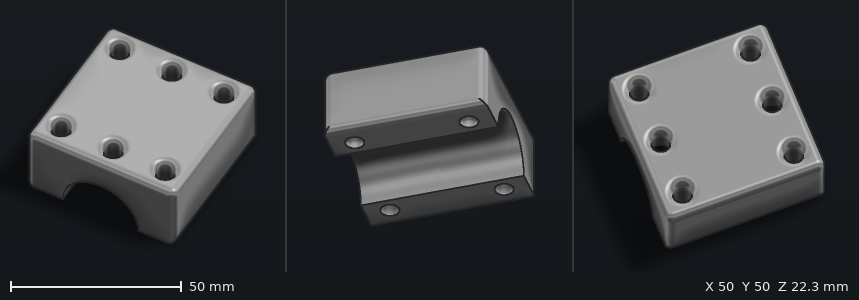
import cadquery as cq

side = 50.0
height = 22.25
edge_radius = 2.5
saddle_radius = 12.7
hole_diameter = 5.6
hole_flare_radius = 2.5
hole_inset = 7.5

hole_radius = hole_diameter / 2
hole_offset = side / 2 - hole_inset
hole_places = [(x, y) for x in (-hole_offset, 0, hole_offset) for y in (-hole_offset, hole_offset)]


def block():
    """Square block with rounded upright and top edges."""
    body = cq.Workplane("XY").box(side, side, height, centered=(True, True, False))
    return body.edges("|Z or >Z").fillet(edge_radius)


def side_envelope():
    """Prism along Y that rounds the two bottom side edges and meets the upright rounds in a mitre."""
    prism = cq.Workplane("XY").box(side, side, height, centered=(True, True, False))
    return prism.edges("|Y and <Z").fillet(edge_radius)


def saddle():
    """Half-round channel along Y, centred on the bottom face."""
    return cq.Workplane("XZ").circle(saddle_radius).extrude(side / 2, both=True)


def flared_hole():
    """Through hole whose mouth rolls outward in a quarter round to meet the top face."""
    mouth_radius = hole_radius + hole_flare_radius
    flare_bottom = height - hole_flare_radius
    return (
        cq.Workplane("XZ")
        .lineTo(hole_radius, 0)
        .lineTo(hole_radius, flare_bottom)
        .radiusArc((mouth_radius, height), hole_flare_radius)
        .lineTo(0, height)
        .close()
        .revolve(360, (0, 0, 0), (0, 1, 0))
    )


result = block().intersect(side_envelope()).cut(saddle())
hole = flared_hole()
for x, y in hole_places:
    result = result.cut(hole.translate((x, y, 0)))